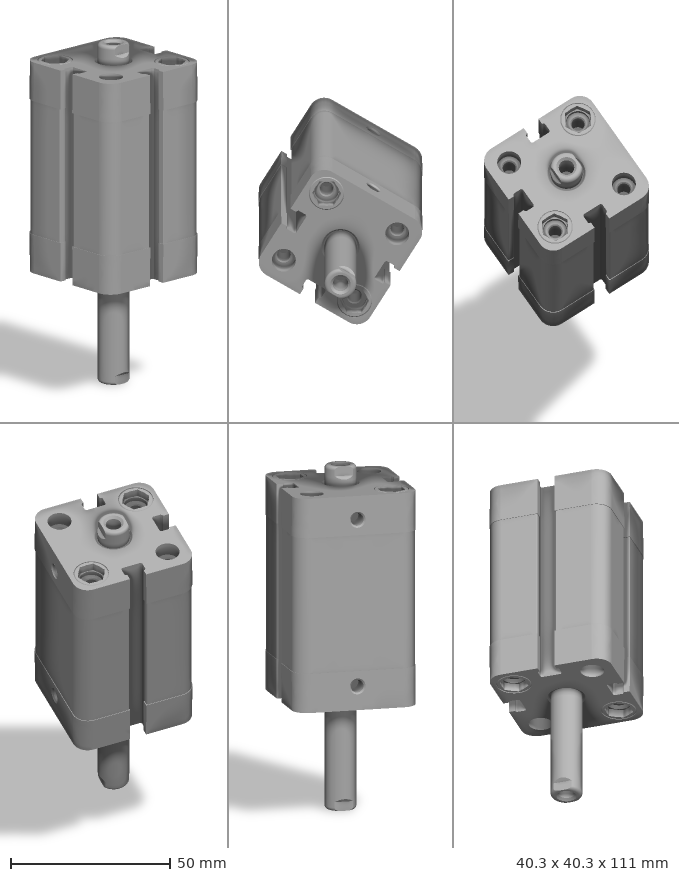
import cadquery as cq
import math

barrel_width = 40.0
cap_width = 40.3
cap_end_width = 40.1
corner_radius = 5.0
cap_height = 12.7
housing_height = 69.0
barrel_height = housing_height - 2 * cap_height

cap_mouth_width = 5.5
barrel_mouth_width = 6.0
slot_inner_width = 7.1
slot_depth = 5.5
slot_lip = 2.0
slot_corner = 0.4
slot_mouth_bevel = 0.2
slot_sides = (-90, 0, 90)

rod_diameter = 10.0
rod_length = 111.0
rod_top_reach = 6.0
rod_bottom = housing_height + rod_top_reach - rod_length
rod_edge_radius = 1.1
flat_width = 8.0
flat_length = 3.0
flat_runout = (rod_diameter - flat_width) / 2
rod_hole_diameter = 4.9
rod_hole_mouth = 6.4
rod_hole_depth = 11.1

rod_recess_floor = 10.9
rod_recess_mouth = 12.0

fastener_offset = 13.0
ring_outer_diameter = 11.1
ring_inner_diameter = 10.4
hexagon_width = 8.0
hexagon_relief_diameter = 8.2
hexagon_depth = 2.7
socket_diameter = 7.5
socket_depth = 4.1
mount_hole_diameter = 7.5
mount_hole_depth = 4.8

thread_diameter = 4.1
thread_mouth = 4.9
port_mouth = 5.2
port_depth = 6.7
port_end_distance = 7.7


def cone_cut(mouth, diameter, top):
    """45 degree countersink opening upward at height top."""
    depth = (mouth - diameter) / 2
    cone = cq.Solid.makeCone(diameter / 2, mouth / 2, depth)
    return cq.Workplane(cone).translate((0, 0, top - depth))


def cylinder_cut(diameter, top, depth):
    """Vertical cylinder reaching down from height top."""
    return cq.Workplane().workplane(offset=top - depth).circle(diameter / 2).extrude(depth)


def countersunk_hole(diameter, mouth, top, depth):
    return cylinder_cut(diameter, top, depth).union(cone_cut(mouth, diameter, top))


def slot_cut(side_width, mouth_width, height, mouth_bevel=0.0):
    """T-slot from Z = 0 up to height, in the +X side of a block of the given width."""
    face = side_width / 2
    floor = barrel_width / 2 - slot_depth
    lip = barrel_width / 2 - slot_lip
    mouth = mouth_width / 2
    inner = slot_inner_width / 2
    half = [
        (floor, inner - slot_corner),
        (floor + slot_corner, inner),
        (lip - slot_corner, inner),
        (lip, inner - slot_corner),
        (lip, mouth),
    ]
    if mouth_bevel:
        half.append((face - mouth_bevel, mouth))
    half.append((face, mouth + mouth_bevel))
    mirrored = [(x, -y) for x, y in reversed(half)]
    return cq.Workplane().polyline(half + mirrored).close().extrude(height)


def cut_slots(block, side_width, mouth_width, height, mouth_bevel=0.0):
    slot = slot_cut(side_width, mouth_width, height, mouth_bevel)
    for side in slot_sides:
        block = block.cut(slot.rotate((0, 0, 0), (0, 0, 1), side))
    return block


def rounded_square(width):
    return cq.Sketch().rect(width, width).vertices().fillet(corner_radius)


def socket_cut():
    """Hexagon socket with round pocket, threaded hole and V-ring, below the cap's end face."""
    hexagon_diagonal = hexagon_width / math.cos(math.radians(30))
    hexagon = (
        cq.Workplane().workplane(offset=cap_height - hexagon_depth)
        .polygon(6, hexagon_diagonal).extrude(hexagon_depth)
    )
    outer = ring_outer_diameter / 2
    inner = ring_inner_diameter / 2
    ring = (
        cq.Workplane("XZ")
        .polyline([(inner, cap_height), (outer, cap_height), (outer, cap_height - (outer - inner))])
        .close().revolve(360, (0, 0, 0), (0, 1, 0))
    )
    floor = cap_height - socket_depth
    return (
        hexagon
        .union(cylinder_cut(hexagon_relief_diameter, cap_height, hexagon_depth))
        .union(cylinder_cut(socket_diameter, cap_height, socket_depth))
        .union(countersunk_hole(thread_diameter, thread_mouth, floor, floor))
        .union(ring)
    )


def mount_hole_cut():
    """Plain hole with a threaded hole in its floor, below the cap's end face."""
    floor = cap_height - mount_hole_depth
    return (
        cylinder_cut(mount_hole_diameter, cap_height, mount_hole_depth)
        .union(countersunk_hole(thread_diameter, thread_mouth, floor, floor))
    )


def rod_opening_cut():
    bore = cylinder_cut(rod_diameter, cap_height, cap_height)
    return bore.union(cone_cut(rod_recess_mouth, rod_recess_floor, cap_height))


def port_cut():
    """Countersunk air port in the -X side."""
    hole = countersunk_hole(thread_diameter, port_mouth, 0, port_depth)
    return (
        hole.rotate((0, 0, 0), (0, 1, 0), -90)
        .translate((-cap_width / 2, 0, cap_height - port_end_distance))
    )


def make_cap():
    """End cap with its end face up and its barrel face on Z = 0; the sides draw in toward the end face."""
    draft = math.degrees(math.atan2((cap_width - cap_end_width) / 2, cap_height))
    cap = cq.Workplane().placeSketch(rounded_square(cap_width)).extrude(cap_height, taper=draft)
    cap = cut_slots(cap, cap_width, cap_mouth_width, cap_height)
    cap = cap.cut(rod_opening_cut()).cut(port_cut())
    for side in (-1, 1):
        place = side * fastener_offset
        cap = cap.cut(socket_cut().translate((place, place, 0)))
        cap = cap.cut(mount_hole_cut().translate((place, -place, 0)))
    return cap


def make_barrel():
    barrel = cq.Workplane().placeSketch(rounded_square(barrel_width)).extrude(barrel_height)
    barrel = cut_slots(barrel, barrel_width, barrel_mouth_width, barrel_height, slot_mouth_bevel)
    barrel = barrel.cut(cylinder_cut(rod_diameter, barrel_height, barrel_height))
    return barrel.translate((0, 0, cap_height))


def rod_end_cut():
    """Wrench flats and threaded hole of a rod end whose end face is at Z = 0."""
    flat = flat_width / 2
    surface = rod_diameter / 2
    profile = [(flat, 0), (flat, -flat_length), (surface, -flat_length - flat_runout), (surface, 0)]
    flat_cut = cq.Workplane("XZ").polyline(profile).close().extrude(surface, both=True)
    hole = countersunk_hole(rod_hole_diameter, rod_hole_mouth, 0, rod_hole_depth)
    return hole.union(flat_cut).union(flat_cut.mirror("YZ"))


def make_rod():
    rod = cq.Workplane().circle(rod_diameter / 2).extrude(rod_length)
    rod = rod.edges("%CIRCLE").fillet(rod_edge_radius)
    rod = rod.cut(rod_end_cut().translate((0, 0, rod_length)))
    rod = rod.cut(rod_end_cut().mirror("XY"))
    return rod.translate((0, 0, rod_bottom))


barrel = make_barrel()
upper_cap = make_cap().translate((0, 0, housing_height - cap_height))
lower_cap = make_cap().rotate((0, 0, 0), (1, 0, 0), 180).translate((0, 0, cap_height))
rod = make_rod()

result = cq.Compound.makeCompound([barrel.val(), upper_cap.val(), lower_cap.val(), rod.val()])